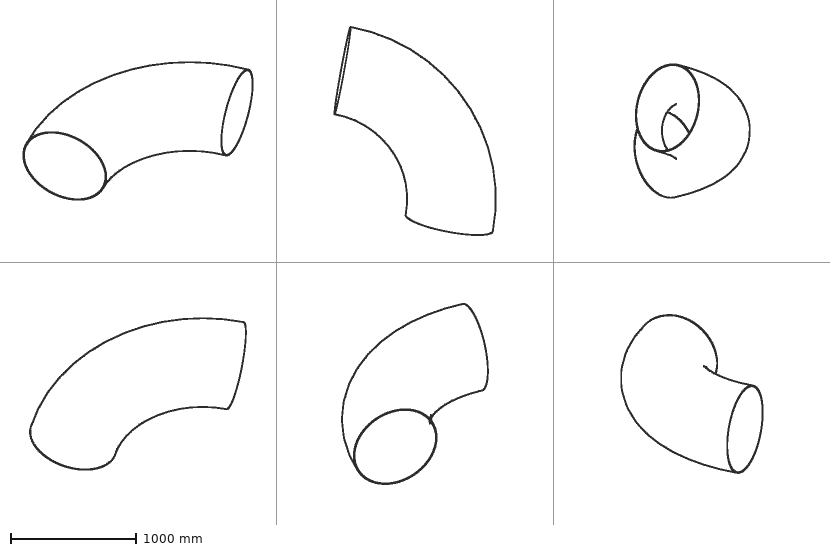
import cadquery as cq

pipe_diameter = 711.0
wall = 8.0
bend_radius = 1.5 * pipe_diameter
bend_angle = 90

outer_radius = pipe_diameter / 2
inner_radius = outer_radius - wall

mouth_section = (
    cq.Workplane("XZ")
    .center(-bend_radius, 0)
    .circle(outer_radius)
    .circle(inner_radius)
)

axis_start = (bend_radius, 14, 0)
axis_end = (bend_radius, 0, 0)
result = mouth_section.revolve(bend_angle, axis_start, axis_end)